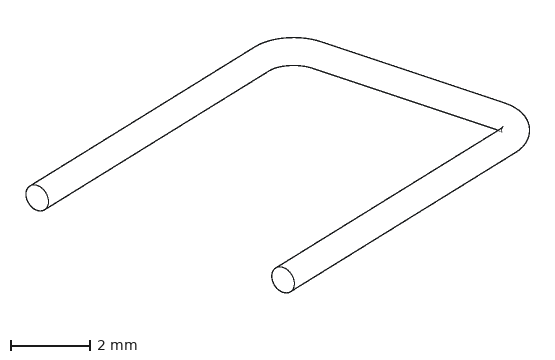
import cadquery as cq

overall_width = 8.42
overall_length = 10.95
wire_diameter = 0.71
bend_outer_radius = 1.34

wire_radius = wire_diameter / 2
bend_radius = bend_outer_radius - wire_radius
leg_x = overall_width / 2 - wire_radius
bridge_y = overall_length - wire_radius
leg_length = overall_length - bend_outer_radius
bridge_half_length = leg_x - bend_radius

centreline = (
    cq.Workplane("XY")
    .moveTo(-leg_x, 0)
    .lineTo(-leg_x, leg_length)
    .tangentArcPoint((-bridge_half_length, bridge_y), relative=False)
    .lineTo(bridge_half_length, bridge_y)
    .tangentArcPoint((leg_x, leg_length), relative=False)
    .lineTo(leg_x, 0)
)

result = (
    cq.Workplane("XZ")
    .center(-leg_x, 0)
    .circle(wire_radius)
    .sweep(centreline)
)